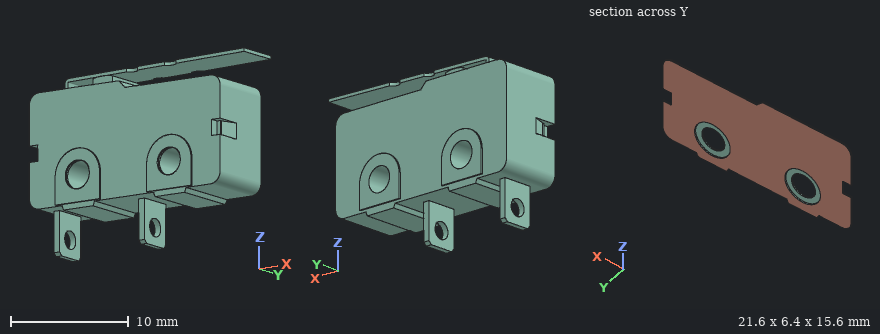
import cadquery as cq
import math


HOUSING_LEFT = -5.1
HOUSING_RIGHT = 14.72
HOUSING_TOP = 7.65
HOUSING_BOTTOM = -2.5
HOUSING_THICKNESS = 6.1
HOUSING_RADIUS = 1.0
FRONT_Y = -HOUSING_THICKNESS / 2
STEP_DROP = 0.65
STEP_START_X = 4.2

HOLE_SPACING = 9.5
LEFT_HOLE_DIAMETER = 2.5
RIGHT_HOLE_DIAMETER = 2.4
PAD_RADIUS = 2.3
PAD_HEIGHT = 0.15
FRONT_PAD_BOTTOM = -2.4
BACK_PAD_BOTTOM = -2.25
GROOVE_DIAMETER = 3.7
GROOVE_WIDTH = 0.2

FOOT_TOP_WIDTH = 3.4
FOOT_BOTTOM_WIDTH = 3.05
FOOT_HEIGHT = 0.4

NOTCH_BOTTOM = 1.7
NOTCH_TOP = 3.1
NOTCH_DEPTH = 0.88
LATCH_DEPTH = 0.53
LATCH_NOSE_Y = -2.25
RAMP_START_Y = -2.05
RAMP_END_Y = -0.63

TERMINAL_CENTERS_X = (-3.27, 5.55)
TERMINAL_THICKNESS = 0.62
TERMINAL_WIDTH = 3.15
TERMINAL_BOTTOM = -6.4
TERMINAL_CHAMFER = 0.3
TERMINAL_HOLE_DIAMETER = 1.6
TERMINAL_HOLE_Z = -4.8

PLUNGER_LEFT = 0.97
PLUNGER_RIGHT = 2.99
PLUNGER_FRONT_Y = -2.25
PLUNGER_BACK_Y = 1.95
PLUNGER_SHOULDER_Z = 8.37
PLUNGER_TOP = 8.5

LEVER_LEFT = -2.1
LEVER_RIGHT = 16.52
LEVER_TIP_TOP = 9.2
LEVER_ANGLE = 1.35
LEVER_THICKNESS = 0.33
LEVER_WIDTH = 4.03
LEVER_CENTER_Y = -0.03
LEVER_BEND_RADIUS = 0.42
LEVER_NOTCH_CENTERS_X = (4.87, 8.85)
LEVER_NOTCH_RADIUS = 0.65
LEVER_NOTCH_DEPTH = 0.37

EMBED = 0.5


def extrude_along_y(profile, y_start, y_end):
    """Extrude an XZ profile, drawn at y = 0, from y_start to y_end."""
    return profile.extrude(-(y_end - y_start)).translate((0, y_start, 0))


def make_housing():
    step_z = HOUSING_TOP - STEP_DROP
    outline = (
        cq.Workplane("XZ")
        .moveTo(HOUSING_LEFT, HOUSING_BOTTOM)
        .lineTo(HOUSING_RIGHT, HOUSING_BOTTOM)
        .lineTo(HOUSING_RIGHT, step_z)
        .lineTo(STEP_START_X + STEP_DROP, step_z)
        .lineTo(STEP_START_X, HOUSING_TOP)
        .lineTo(HOUSING_LEFT, HOUSING_TOP)
        .close()
    )
    body = extrude_along_y(outline, FRONT_Y, -FRONT_Y)
    end_corners = body.faces("<X or >X").edges("|Y")
    return end_corners.fillet(HOUSING_RADIUS)


def make_pad(center_x, bottom_z, y_start, y_end):
    """Arch-shaped pad: a half round on top of a rectangle."""
    outline = (
        cq.Workplane("XZ")
        .moveTo(center_x - PAD_RADIUS, bottom_z)
        .lineTo(center_x + PAD_RADIUS, bottom_z)
        .lineTo(center_x + PAD_RADIUS, 0)
        .threePointArc((center_x, PAD_RADIUS), (center_x - PAD_RADIUS, 0))
        .close()
    )
    return extrude_along_y(outline, y_start, y_end)


def make_foot(center_x):
    outline = (
        cq.Workplane("XZ")
        .moveTo(center_x - FOOT_TOP_WIDTH / 2, HOUSING_BOTTOM)
        .lineTo(center_x - FOOT_BOTTOM_WIDTH / 2, HOUSING_BOTTOM - FOOT_HEIGHT)
        .lineTo(center_x + FOOT_BOTTOM_WIDTH / 2, HOUSING_BOTTOM - FOOT_HEIGHT)
        .lineTo(center_x + FOOT_TOP_WIDTH / 2, HOUSING_BOTTOM)
        .close()
    )
    return extrude_along_y(outline, FRONT_Y, -FRONT_Y)


def make_disc(center_x, diameter, y_start, y_end):
    circle = cq.Workplane("XZ").center(center_x, 0).circle(diameter / 2)
    return extrude_along_y(circle, y_start, y_end)


def make_latch_notch(end_x, inward):
    """Notch at one end; inward is +1 or -1, the X direction into the housing."""
    deep_x = end_x + inward * NOTCH_DEPTH
    latch_x = end_x + inward * LATCH_DEPTH
    return (
        cq.Workplane("XY")
        .workplane(offset=NOTCH_BOTTOM)
        .moveTo(end_x, FRONT_Y)
        .lineTo(deep_x, FRONT_Y)
        .lineTo(deep_x, LATCH_NOSE_Y)
        .lineTo(latch_x, LATCH_NOSE_Y)
        .lineTo(latch_x, RAMP_START_Y)
        .lineTo(end_x, RAMP_END_Y)
        .close()
        .extrude(NOTCH_TOP - NOTCH_BOTTOM)
    )


def make_terminal(center_x):
    top_z = HOUSING_BOTTOM + EMBED
    height = top_z - TERMINAL_BOTTOM
    blade = (
        cq.Workplane("XY")
        .box(TERMINAL_THICKNESS, TERMINAL_WIDTH, height)
        .translate((center_x, 0, top_z - height / 2))
        .faces("<Z")
        .edges("|X")
        .chamfer(TERMINAL_CHAMFER)
    )
    eyelet = (
        cq.Workplane("YZ")
        .center(0, TERMINAL_HOLE_Z)
        .circle(TERMINAL_HOLE_DIAMETER / 2)
        .extrude(TERMINAL_THICKNESS, both=True)
        .translate((center_x, 0, 0))
    )
    return blade.cut(eyelet)


def make_plunger():
    middle_x = (PLUNGER_LEFT + PLUNGER_RIGHT) / 2
    outline = (
        cq.Workplane("XZ")
        .moveTo(PLUNGER_LEFT, HOUSING_TOP - EMBED)
        .lineTo(PLUNGER_RIGHT, HOUSING_TOP - EMBED)
        .lineTo(PLUNGER_RIGHT, PLUNGER_SHOULDER_Z)
        .threePointArc((middle_x, PLUNGER_TOP), (PLUNGER_LEFT, PLUNGER_SHOULDER_Z))
        .close()
    )
    return extrude_along_y(outline, PLUNGER_FRONT_Y, PLUNGER_BACK_Y)


def lever_top_z(x):
    return LEVER_TIP_TOP - (LEVER_RIGHT - x) * math.tan(math.radians(LEVER_ANGLE))


def make_lever():
    foot_z = HOUSING_TOP - EMBED
    inner_x = LEVER_LEFT + LEVER_THICKNESS
    outline = (
        cq.Workplane("XZ")
        .moveTo(LEVER_LEFT, foot_z)
        .lineTo(LEVER_LEFT, lever_top_z(LEVER_LEFT))
        .lineTo(LEVER_RIGHT, LEVER_TIP_TOP)
        .lineTo(LEVER_RIGHT, LEVER_TIP_TOP - LEVER_THICKNESS)
        .lineTo(inner_x, lever_top_z(inner_x) - LEVER_THICKNESS)
        .lineTo(inner_x, foot_z)
        .close()
    )
    back_y = LEVER_CENTER_Y + LEVER_WIDTH / 2
    front_y = LEVER_CENTER_Y - LEVER_WIDTH / 2
    lever = extrude_along_y(outline, front_y, back_y)

    outer_corner = cq.NearestToPointSelector((LEVER_LEFT, LEVER_CENTER_Y, lever_top_z(LEVER_LEFT)))
    lever = lever.edges("|Y").edges(outer_corner).fillet(LEVER_BEND_RADIUS)
    inner_z = lever_top_z(inner_x) - LEVER_THICKNESS
    inner_corner = cq.NearestToPointSelector((inner_x, LEVER_CENTER_Y, inner_z))
    lever = lever.edges("|Y").edges(inner_corner).fillet(LEVER_BEND_RADIUS - LEVER_THICKNESS)

    notch_offset = LEVER_WIDTH / 2 + LEVER_NOTCH_RADIUS - LEVER_NOTCH_DEPTH
    for x in LEVER_NOTCH_CENTERS_X:
        for side in (-1, 1):
            notch = (
                cq.Workplane("XY")
                .workplane(offset=HOUSING_TOP)
                .center(x, LEVER_CENTER_Y + side * notch_offset)
                .circle(LEVER_NOTCH_RADIUS)
                .extrude(LEVER_TIP_TOP - HOUSING_TOP)
            )
            lever = lever.cut(notch)
    return lever


pad_front_y = FRONT_Y - PAD_HEIGHT
pad_back_y = -pad_front_y
mounting_holes = (
    (0, LEFT_HOLE_DIAMETER),
    (HOLE_SPACING, RIGHT_HOLE_DIAMETER),
)

result = make_housing()
for hole_x, hole_diameter in mounting_holes:
    result = result.union(make_pad(hole_x, FRONT_PAD_BOTTOM, pad_front_y, FRONT_Y))
    result = result.union(make_pad(hole_x, BACK_PAD_BOTTOM, -FRONT_Y, pad_back_y))
    result = result.union(make_foot(hole_x))
    result = result.cut(make_disc(hole_x, hole_diameter, pad_front_y, pad_back_y))
    result = result.cut(make_disc(hole_x, GROOVE_DIAMETER, FRONT_Y, FRONT_Y + GROOVE_WIDTH))

result = result.cut(make_latch_notch(HOUSING_LEFT, 1))
result = result.cut(make_latch_notch(HOUSING_RIGHT, -1))
for terminal_x in TERMINAL_CENTERS_X:
    result = result.union(make_terminal(terminal_x))
result = result.union(make_plunger())
result = result.union(make_lever())